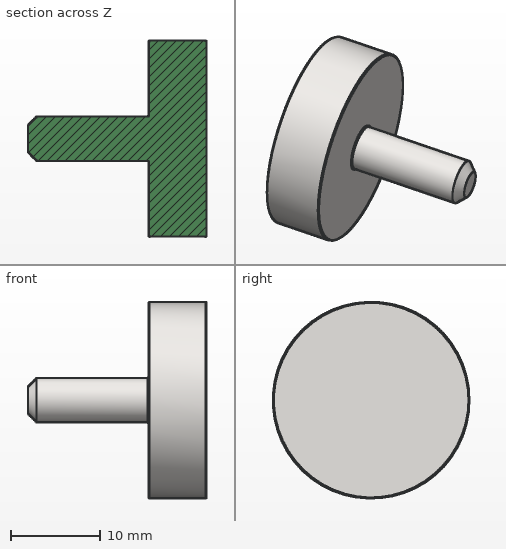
import cadquery as cq

head_diameter = 22.0
total_length = 20.0
head_thickness = 6.5
head_edge_chamfer = 0.1

pin_diameter = 5.0
pin_tip_chamfer = 1.0
pin_root_chamfer = 0.1

pin_tip_x = -total_length
head_front_x = -head_thickness


def make_head():
    """Round head with small chamfers on both rims."""
    disc = (
        cq.Workplane("YZ")
        .workplane(offset=head_front_x)
        .circle(head_diameter / 2)
        .extrude(head_thickness)
    )
    return disc.faces("<X or >X").edges().chamfer(head_edge_chamfer)


def make_pin():
    """Pin with a tapered tip, running from the tip to the front of the head."""
    shaft = (
        cq.Workplane("YZ")
        .workplane(offset=pin_tip_x)
        .circle(pin_diameter / 2)
        .extrude(total_length - head_thickness)
    )
    return shaft.faces("<X").chamfer(pin_tip_chamfer)


def make_pin_root():
    """Bevelled collar that widens the pin where it meets the head."""
    pin_radius = pin_diameter / 2
    return (
        cq.Workplane("XY")
        .moveTo(head_front_x, 0)
        .lineTo(head_front_x, pin_radius + pin_root_chamfer)
        .lineTo(head_front_x - pin_root_chamfer, pin_radius)
        .lineTo(head_front_x - pin_root_chamfer, 0)
        .close()
        .revolve(360, (0, 0, 0), (1, 0, 0))
    )


result = make_head().union(make_pin()).union(make_pin_root())